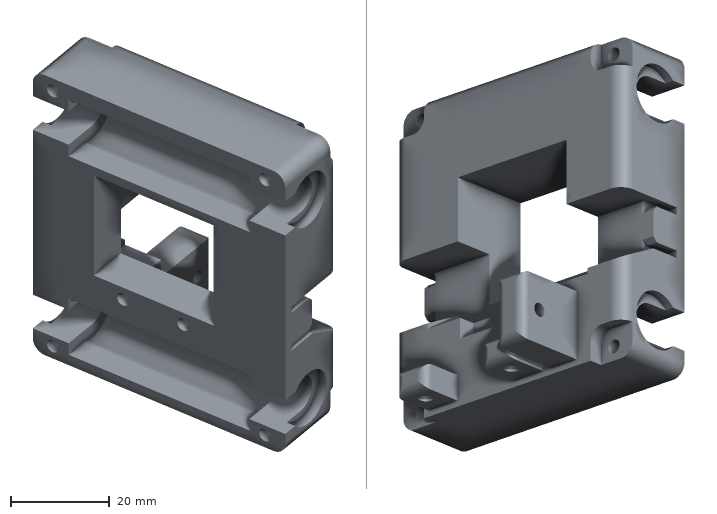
import cadquery as cq

width = 63.0
height = 70.2
depth = 18.9
half_width = width / 2
corner_radius = 3.0
back_fillet = 3.15
step_y = depth - back_fillet

screw_hole_diameter = 3.0
screw_x = 26.5
screw_edge_distance = 3.1
relief_width = 8.55
relief_height = 7.15
relief_radius = 3.0

rod_z = (9.7, 59.45)
rod_y = 8.15
rod_slot_radius = 4.2
bearing_radius = 7.5
bearing_mouth = 14.2
bearing_half_length = 22.5
seat_radius = 6.3
seat_depth = 2.1

window_left = -16.2
window_right = 13.6
window_bottom = 25.1
window_top = 50.25
channel_y = 9.4
channel_top = 36.2
ramp_end_z = 20.6

pocket_half_width = 22.0
pocket_floor_z = 19.3
recess_half_width = 13.0
recess_y = 14.9
recess_floor_z = 14.75

small_hole_x = (-9.0, 6.05)
small_hole_z = 22.2
small_hole_diameter = 3.0

slit_front_y = 2.25
slit_height = 1.6
slit_depth = 3.0
slit_fillet = 1.0
tongue_chamfer = 1.05

tab_fillet = 2.0
tab_hole_diameter = 3.0
tab_root = 1.4
tall_tab_x = (-19.1, -11.9)
tall_tab_z = (1.3, 16.3)
tall_tab_end = 35.3
tall_tab_hole_y = 30.1
short_tab_centers = (-5.9, 17.7)
short_tab_width = 7.9
short_tab_z = (1.3, 6.95)
short_tab_end = 28.8
short_tab_hole_y = 24.0


def block(x_range, y_range, z_range):
    """Box between the given limits."""
    lows, highs = zip(x_range, y_range, z_range)
    size = [high - low for low, high in zip(lows, highs)]
    return cq.Workplane("XY").box(*size, centered=False).translate(lows)


def y_hole(x, z, diameter):
    """Cutter for a hole right through the body along Y."""
    return cq.Workplane("XZ", origin=(x, 0, z)).circle(diameter / 2).extrude(-depth)


def x_cylinder(radius, x_range, z):
    """Cylinder on a rod axis."""
    plane = cq.Workplane("YZ", origin=(x_range[0], rod_y, z))
    return plane.circle(radius).extrude(x_range[1] - x_range[0])


def rod_groove(radius, mouth_height, half_length, z):
    """Groove with a round bottom and a straight mouth at the front face."""
    x_range = (-half_length, half_length)
    mouth = block(x_range, (0, rod_y), (z - mouth_height / 2, z + mouth_height / 2))
    return x_cylinder(radius, x_range, z).union(mouth)


def corner_relief(side, z_range, inner_edge):
    """Step behind a screw hole, with one rounded inner corner."""
    x_range = sorted((side * half_width, side * (half_width - relief_width)))
    relief = block(x_range, (step_y, depth), z_range)
    inner_x = "<X" if side > 0 else ">X"
    inner = relief.faces(inner_x).edges("|Y").edges(inner_edge)
    return relief.newObject(inner.vals()).fillet(relief_radius)


def end_channel():
    """Channel across the back with a ramped lower side."""
    outline = [
        (depth, channel_top),
        (channel_y, channel_top),
        (channel_y, window_bottom),
        (depth, ramp_end_z),
    ]
    plane = cq.Workplane("YZ", origin=(-half_width, 0, 0))
    return plane.polyline(outline).close().extrude(width)


def slit(side, outer_z, inward):
    """Slit beside a tongue; inward is the Z direction towards the tongue."""
    inner_z = outer_z + inward * slit_height
    outline = [
        (slit_front_y, outer_z),
        (slit_front_y, inner_z),
        (channel_y - tongue_chamfer, inner_z),
        (channel_y, inner_z + inward * tongue_chamfer),
        (channel_y, outer_z),
    ]
    plane = cq.Workplane("YZ", origin=(side * half_width, 0, 0))
    cutter = plane.polyline(outline).close().extrude(-side * slit_depth)
    floor = "<X" if side > 0 else ">X"
    outer_edge = ">Z" if inward < 0 else "<Z"
    edge = cutter.faces(floor).edges("|Y").edges(outer_edge)
    return cutter.newObject(edge.vals()).fillet(slit_fillet)


def tab(x_range, z_range, end_y):
    """Tab standing out from the back, rounded around its free end."""
    body = block(x_range, (depth - tab_root, end_y), z_range)
    return body.faces(">Y").edges().fillet(tab_fillet)


x_limits = (-half_width, half_width)
result = block(x_limits, (0, step_y), (0, height)).edges("|Y").fillet(corner_radius)

back_layer = block(x_limits, (0, depth), (0, height))
back_layer = back_layer.faces(">Y").edges("|Z or >Z").fillet(back_fillet)
back_layer = back_layer.intersect(block(x_limits, (step_y, depth), (0, height)))
result = result.union(back_layer)
for side in (-1, 1):
    result = result.cut(corner_relief(side, (0, relief_height), ">Z"))
    result = result.cut(corner_relief(side, (height - relief_height, height), "<Z"))

for x in (-screw_x, screw_x):
    for z in (screw_edge_distance, height - screw_edge_distance):
        result = result.cut(y_hole(x, z, screw_hole_diameter))

for z in rod_z:
    result = result.cut(rod_groove(rod_slot_radius, 2 * rod_slot_radius, half_width, z))
    result = result.cut(rod_groove(bearing_radius, bearing_mouth, bearing_half_length, z))
    result = result.cut(x_cylinder(seat_radius, (-half_width, seat_depth - half_width), z))
    result = result.cut(x_cylinder(seat_radius, (half_width - seat_depth, half_width), z))

result = result.cut(block((window_left, window_right), (0, depth), (window_bottom, window_top)))
result = result.cut(end_channel())
pocket_x = (-pocket_half_width, pocket_half_width)
result = result.cut(block(pocket_x, (channel_y, depth), (pocket_floor_z, channel_top)))
recess_x = (-recess_half_width, recess_half_width)
result = result.cut(block(recess_x, (recess_y, depth), (recess_floor_z, pocket_floor_z)))

for x in small_hole_x:
    result = result.cut(y_hole(x, small_hole_z, small_hole_diameter))

for side in (-1, 1):
    result = result.cut(slit(side, channel_top, -1))
    result = result.cut(slit(side, window_bottom, 1))

tall_tab = tab(tall_tab_x, tall_tab_z, tall_tab_end)
tall_hole_z = sum(tall_tab_z) / 2
tall_hole = cq.Workplane("YZ", origin=(tall_tab_x[0], tall_tab_hole_y, tall_hole_z))
tall_hole = tall_hole.circle(tab_hole_diameter / 2).extrude(tall_tab_x[1] - tall_tab_x[0])
result = result.union(tall_tab.cut(tall_hole))

for x in short_tab_centers:
    short_tab_x = (x - short_tab_width / 2, x + short_tab_width / 2)
    short_tab = tab(short_tab_x, short_tab_z, short_tab_end)
    hole = cq.Workplane("XY", origin=(x, short_tab_hole_y, short_tab_z[0]))
    hole = hole.circle(tab_hole_diameter / 2).extrude(short_tab_z[1] - short_tab_z[0])
    result = result.union(short_tab.cut(hole))